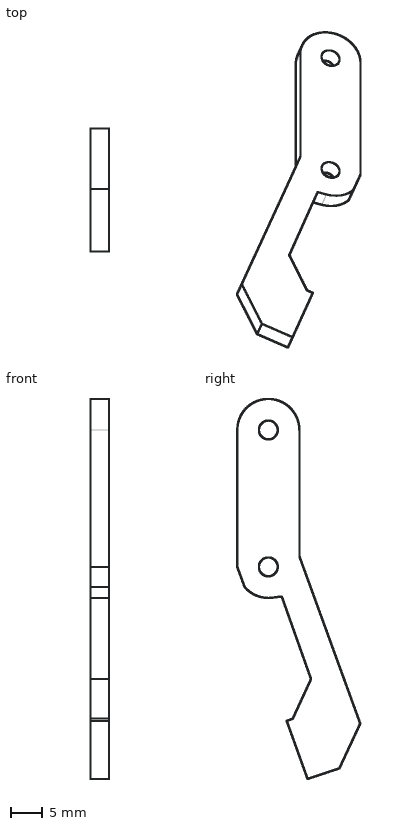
import cadquery as cq
import math

thickness = 3.0
total_height = 61.2
total_width = 19.8
end_radius = 5.0
hole_diameter = 3.0
hole_spacing = 22.0
arm_tilt = math.radians(20)

top = hole_spacing + end_radius
tip_bottom = top - total_height
heel_y = total_width - end_radius

arm_root = (2.15, -4.8)
hook_throat = (6.85, -18.05)
barb_inner = (3.9, -24.4)
barb_point = (2.95, -24.8)
tip = (6.3, tip_bottom)
tip_back = (11.45, -32.4)
heel = (heel_y, -25.2)

back_knee = (end_radius, heel[1] + (heel_y - end_radius) / math.tan(arm_tilt))


def on_lower_round(angle):
    """Point on the lower round at an angle measured from +Y."""
    return end_radius * math.cos(angle), end_radius * math.sin(angle)


root_angle = math.atan2(arm_root[1], arm_root[0])
tangent_angle = root_angle - math.acos(end_radius / math.hypot(*arm_root))

front_knee = (-end_radius, 0)
flat_angle = -math.pi + 2 * arm_tilt

plate = (
    cq.Workplane("YZ")
    .moveTo(-end_radius, hole_spacing)
    .threePointArc((0, top), (end_radius, hole_spacing))
    .lineTo(*back_knee)
    .lineTo(*heel)
    .lineTo(*tip_back)
    .lineTo(*tip)
    .lineTo(*barb_point)
    .lineTo(*barb_inner)
    .lineTo(*hook_throat)
    .lineTo(*arm_root)
    .lineTo(*on_lower_round(tangent_angle))
    .threePointArc(on_lower_round((tangent_angle + flat_angle) / 2), on_lower_round(flat_angle))
    .lineTo(*front_knee)
    .close()
    .extrude(thickness)
)

holes = (
    cq.Workplane("YZ")
    .pushPoints([(0, 0), (0, hole_spacing)])
    .circle(hole_diameter / 2)
    .extrude(thickness)
)

result = plate.cut(holes)